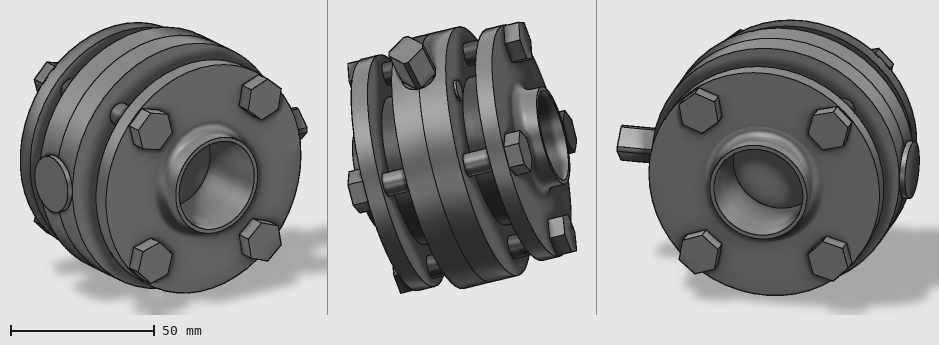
import cadquery as cq
import math


total_length = 68.0
ring_diameter = 89.0
ring_width = 20.0
hub_radius = 26.5
flange_radius = 41.5
flange_inner_x = 20.0
flange_outer_x = 26.0
neck_radius = 17.5
neck_fillet = 4.0
bore_radius = 16.0

bolt_radius = 4.1
bolt_circle_radius = 34.5
head_width = 13.0
head_height = 5.5
shaft_side_bolt_angle = 50
cap_side_bolt_angle = 45
bolt_angles = [
    shaft_side_bolt_angle,
    -shaft_side_bolt_angle,
    180 - cap_side_bolt_angle,
    180 + cap_side_bolt_angle,
]

boss_radius = 3.7
boss_height = 0.9
boss_y = 32.5

shaft_length = 104.5
shaft_radius = 6.3
square_width = 10.0
cap_thickness = 2.0
cap_radius = ring_width / 2
disc_thickness = 14.6

half_length = total_length / 2
ring_radius = ring_diameter / 2
cap_end_y = -ring_radius - cap_thickness
shaft_end_y = cap_end_y + shaft_length

square_start_y = math.sqrt(ring_radius**2 - shaft_radius**2)


def cylinder_x(radius, start_x, end_x, y=0, z=0):
    """Cylinder along +X from start_x to end_x."""
    axis_start = cq.Vector(start_x, y, z)
    return cq.Workplane(cq.Solid.makeCylinder(radius, end_x - start_x, axis_start, cq.Vector(1, 0, 0)))


def cylinder_y(radius, start_y, end_y):
    """Cylinder on the Y axis from start_y to end_y."""
    axis_start = cq.Vector(0, start_y, 0)
    return cq.Workplane(cq.Solid.makeCylinder(radius, end_y - start_y, axis_start, cq.Vector(0, 1, 0)))


def make_turned_body():
    """Half ring, hub, flange and filleted neck, turned about X with the bore through them."""
    fillet_end_x = flange_outer_x + neck_fillet
    fillet_outer_radius = neck_radius + neck_fillet
    arc_offset = neck_fillet * (1 - math.sqrt(0.5))
    return (
        cq.Workplane("XY")
        .moveTo(0, bore_radius)
        .lineTo(0, ring_radius)
        .lineTo(ring_width / 2, ring_radius)
        .lineTo(ring_width / 2, hub_radius)
        .lineTo(flange_inner_x, hub_radius)
        .lineTo(flange_inner_x, flange_radius)
        .lineTo(flange_outer_x, flange_radius)
        .lineTo(flange_outer_x, fillet_outer_radius)
        .threePointArc(
            (flange_outer_x + arc_offset, neck_radius + arc_offset),
            (fillet_end_x, neck_radius),
        )
        .lineTo(half_length, neck_radius)
        .lineTo(half_length, bore_radius)
        .close()
        .revolve(360, (0, 0, 0), (1, 0, 0))
    )


def make_bolt(angle):
    """Shank from the ring to the flange and a hexagon head with one flat facing outward."""
    y = bolt_circle_radius * math.cos(math.radians(angle))
    z = bolt_circle_radius * math.sin(math.radians(angle))
    shank = cylinder_x(bolt_radius, ring_width / 2, flange_outer_x, y, z)
    half_corner_angle = 30
    corner_diameter = head_width / math.cos(math.radians(half_corner_angle))
    head = (
        cq.Workplane("YZ", origin=(flange_outer_x, 0, 0))
        .transformed(rotate=(0, 0, angle))
        .center(bolt_circle_radius, 0)
        .transformed(rotate=(0, 0, half_corner_angle))
        .polygon(6, corner_diameter)
        .extrude(head_height)
    )
    return shank.union(head)


def make_shaft():
    """Round shaft with a square drive end, a cap at the other end and a disc that closes the bore."""
    round_part = cylinder_y(shaft_radius, -ring_radius, square_start_y)
    square_length = shaft_end_y - square_start_y
    square = (
        cq.Workplane("XY")
        .box(square_width, square_length, square_width)
        .rotate((0, 0, 0), (0, 1, 0), 45)
        .translate((0, square_start_y + square_length / 2, 0))
    )
    drive_end = cylinder_y(shaft_radius, square_start_y, shaft_end_y).intersect(square)
    cap = cylinder_y(cap_radius, cap_end_y, -ring_radius)
    disc = cylinder_x(bore_radius, -disc_thickness / 2, disc_thickness / 2)
    return round_part.union(drive_end).union(cap).union(disc)


def make_housing_half():
    """Housing half on the +X side, with bolts, boss and half of the shaft hole."""
    half = make_turned_body()
    for angle in bolt_angles:
        half = half.union(make_bolt(angle))
    boss_start_x = ring_width / 2
    half = half.union(cylinder_x(boss_radius, boss_start_x, boss_start_x + boss_height, boss_y))
    return half.cut(cylinder_y(shaft_radius, -ring_radius, ring_radius))


right_half = make_housing_half()
left_half = right_half.mirror("YZ")
shaft = make_shaft()

result = cq.Compound.makeCompound([left_half.val(), right_half.val(), shaft.val()])